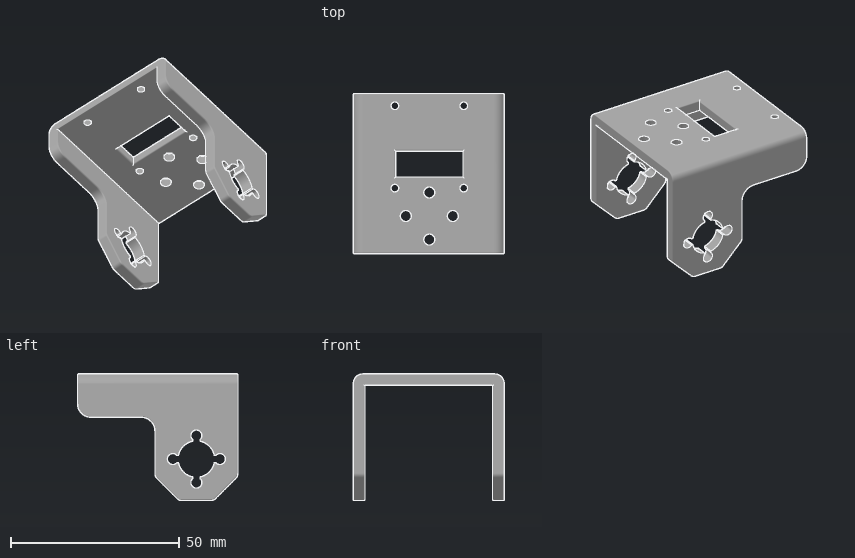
import cadquery as cq
import math

width = 45.01
depth = 47.76
height = 37.78
leg_thickness = 3.55
plate_thickness = 3.5
bend_radius = 3.0
rim_radius = 0.4
underside_radius = 0.2

selection_margin = 0.01

leg_depth = 24.77
shoulder_height = 13.0
shoulder_radius = 4.0
octagon_corner_radius = 1.9
octagon_inset = leg_depth / (2 + math.sqrt(2))

horn_bore_diameter = 10.8
horn_hole_diameter = 3.2
horn_hole_circle_radius = 7.0
horn_slot_width = 2.1

circle_hole_count = 4

plate_centre_x = 0.17
mount_circle_y = -12.6
mount_hole_diameter = 3.2
mount_hole_circle_radius = 7.0
window_y = 2.86
window_width = 19.9
window_depth = 7.55
window_rounding = 0.5
screw_hole_diameter = 2.2
screw_spacing_x = 20.5
screw_spacing_y = 24.5
screw_pattern_y = 7.95

half_width = width / 2
front_y = -depth / 2
back_y = depth / 2
top_z = height / 2
bottom_z = -height / 2
leg_back_y = front_y + leg_depth
leg_centre_y = front_y + leg_depth / 2
leg_centre_z = bottom_z + leg_depth / 2
shoulder_z = top_z - shoulder_height
octagon_z = bottom_z + octagon_inset
inner_width = width - 2 * leg_thickness
inner_top_z = top_z - plate_thickness


def u_channel():
    """Bent sheet: a top plate with two legs, square inside and rounded outside."""
    outer = cq.Workplane("XY").box(width, depth, height).edges("|Y and >Z").fillet(bend_radius)
    inner = cq.Workplane("XY").box(inner_width, depth, height)
    return outer.cut(inner.translate((0, 0, -plate_thickness)))


def side_outline():
    """Solid across the full width with the outline of the legs in the YZ plane."""
    outline = (
        cq.Workplane("YZ")
        .moveTo(front_y, top_z)
        .lineTo(back_y, top_z)
        .lineTo(back_y, shoulder_z)
        .lineTo(leg_back_y, shoulder_z)
        .lineTo(leg_back_y, octagon_z)
        .lineTo(leg_back_y - octagon_inset, bottom_z)
        .lineTo(front_y + octagon_inset, bottom_z)
        .lineTo(front_y, octagon_z)
        .close()
        .extrude(half_width, both=True)
    )

    def corner(y, z):
        return cq.selectors.NearestToPointSelector((0, y, z))

    for y in (back_y, leg_back_y):
        outline = outline.edges(corner(y, shoulder_z)).fillet(shoulder_radius)
    for y in (front_y, leg_back_y):
        outline = outline.edges(corner(y, octagon_z)).fillet(octagon_corner_radius)
    for y in (front_y + octagon_inset, leg_back_y - octagon_inset):
        outline = outline.edges(corner(y, bottom_z)).fillet(octagon_corner_radius)
    return outline


def round_rim(body):
    """Round the outer and inner rims of the sheet; bend lines and edges across the rim stay sharp."""

    def is_rim(edge):
        box = edge.BoundingBox()
        along_bend = box.ylen > depth - selection_margin and box.zmin > shoulder_z
        across_leg = abs(box.xlen - leg_thickness) < selection_margin
        under_plate = abs(box.xlen - inner_width) < selection_margin and box.zmax < top_z - selection_margin
        return not (along_bend or across_leg or under_plate)

    body = body.edges().filter(is_rim).fillet(rim_radius)
    for y in (front_y, back_y):
        under_edge = cq.selectors.NearestToPointSelector((0, y, inner_top_z))
        body = body.edges(under_edge).fillet(underside_radius)
    return body


def horn_opening():
    """Cutter through both legs: central bore with four screw holes joined to it by slots."""
    plane = cq.Workplane("YZ", origin=(0, leg_centre_y, leg_centre_z))
    cutter = plane.circle(horn_bore_diameter / 2).extrude(half_width, both=True)
    holes = (
        plane.polarArray(horn_hole_circle_radius, 0, 360, circle_hole_count)
        .circle(horn_hole_diameter / 2)
        .extrude(half_width, both=True)
    )
    slot_length = 2 * horn_hole_circle_radius
    slots = (
        plane.rect(slot_length, horn_slot_width)
        .extrude(half_width, both=True)
        .union(plane.rect(horn_slot_width, slot_length).extrude(half_width, both=True))
    )
    return cutter.union(holes).union(slots)


def plate_holes():
    """Cutter for the four mounting holes and the four small screw holes."""
    plate = cq.Workplane("XY", origin=(plate_centre_x, 0, inner_top_z))
    mounts = (
        plate.center(0, mount_circle_y)
        .polarArray(mount_hole_circle_radius, 0, 360, circle_hole_count)
        .circle(mount_hole_diameter / 2)
        .extrude(plate_thickness)
    )
    screws = (
        plate.center(0, screw_pattern_y)
        .rarray(screw_spacing_x, screw_spacing_y, 2, 2)
        .circle(screw_hole_diameter / 2)
        .extrude(plate_thickness)
    )
    return mounts.union(screws)


def cut_window(body):
    """Rectangular window through the plate with its upper and lower rims rounded."""
    plate = cq.Workplane("XY", origin=(plate_centre_x, window_y, inner_top_z))
    opening = plate.rect(window_width, window_depth).extrude(plate_thickness)
    body = body.cut(opening)
    rim_box = opening.val().BoundingBox().enlarge(selection_margin)
    rim_selector = cq.selectors.BoxSelector(
        (rim_box.xmin, rim_box.ymin, rim_box.zmin),
        (rim_box.xmax, rim_box.ymax, rim_box.zmax),
    )
    return body.edges(rim_selector).edges("#Z").fillet(window_rounding)


bracket = round_rim(u_channel().intersect(side_outline()))
bracket = cut_window(bracket)
result = bracket.cut(horn_opening()).cut(plate_holes())